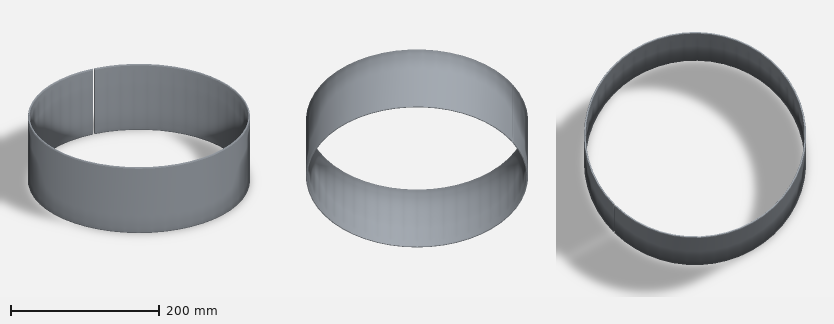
import cadquery as cq

outer_diameter = 300.0
height = 100.0
wall = 2.5
bevel_height = 1.5
bevel_inset = 0.5
gap_angle = 1.0

outer_radius = outer_diameter / 2
inner_radius = outer_radius - wall


def make_split_band():
    """Thin split band, centred on the origin, with both rims beveled inside and outside."""
    outer_rim_radius = outer_radius - bevel_inset
    inner_rim_radius = inner_radius + bevel_inset
    top = height / 2
    bevel_start = top - bevel_height
    return (
        cq.Workplane("XZ")
        .moveTo(-inner_rim_radius, -top)
        .lineTo(-outer_rim_radius, -top)
        .lineTo(-outer_radius, -bevel_start)
        .lineTo(-outer_radius, bevel_start)
        .lineTo(-outer_rim_radius, top)
        .lineTo(-inner_rim_radius, top)
        .lineTo(-inner_radius, bevel_start)
        .lineTo(-inner_radius, -bevel_start)
        .close()
        .revolve(360 - gap_angle, (0, 0, 0), (0, 1, 0))
    )


result = make_split_band()